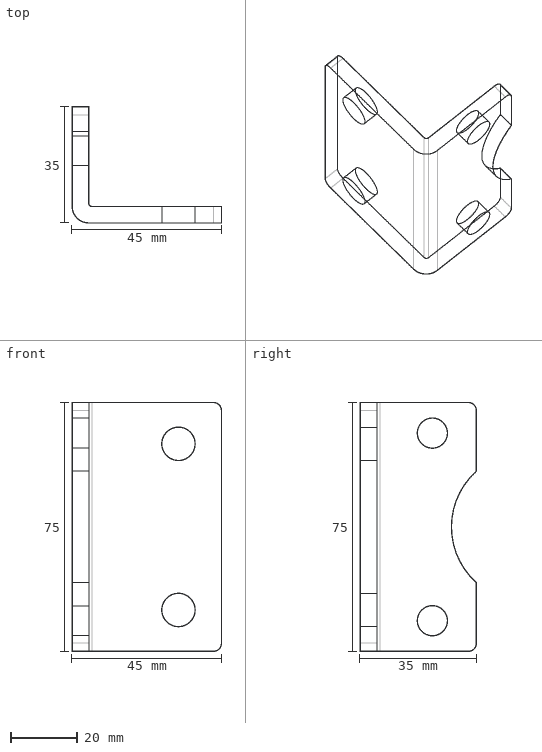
import cadquery as cq

length_x = 45.0
length_y = 35.0
height = 75.0
thickness = 5.0

bend_outer_radius = thickness
bend_inner_radius = 1.0
corner_radius = 2.5

front_hole_diameter = 10.0
front_hole_x = 32.0
front_hole_spacing = 50.0

side_hole_diameter = 9.0
side_hole_y = 21.75
side_hole_spacing = 56.5

relief_radius = 22.5
relief_depth = 7.5

middle_z = height / 2


def bent_plate():
    """L-shaped plate, bent around a vertical edge at the origin."""
    plate = (
        cq.Workplane("XY")
        .polyline([
            (0, 0),
            (length_x, 0),
            (length_x, thickness),
            (thickness, thickness),
            (thickness, length_y),
            (0, length_y),
        ])
        .close()
        .extrude(height)
    )
    inner_bend = cq.selectors.NearestToPointSelector((thickness, thickness, middle_z))
    outer_bend = cq.selectors.NearestToPointSelector((0, 0, middle_z))
    plate = plate.edges("|Z").edges(inner_bend).fillet(bend_inner_radius)
    return plate.edges("|Z").edges(outer_bend).fillet(bend_outer_radius)


def round_free_corners(plate):
    """Round the top and bottom corners at the free end of each leg."""
    plate = plate.faces(">X").edges("|Y").fillet(corner_radius)
    return plate.faces(">Y").edges("|X").fillet(corner_radius)


def front_holes():
    """Two holes through the front leg, symmetric about mid height."""
    return (
        cq.Workplane("XZ")
        .center(front_hole_x, middle_z)
        .rarray(0.75, front_hole_spacing, 1, 2)
        .circle(front_hole_diameter / 2)
        .extrude(-thickness)
    )


def side_holes():
    """Two holes through the side leg, symmetric about mid height."""
    return (
        cq.Workplane("YZ")
        .center(side_hole_y, middle_z)
        .rarray(0.75, side_hole_spacing, 1, 2)
        .circle(side_hole_diameter / 2)
        .extrude(thickness)
    )


def edge_relief():
    """Cylinder that cuts the shallow arc into the side leg."""
    center_y = length_y - relief_depth + relief_radius
    return (
        cq.Workplane("YZ")
        .center(center_y, middle_z)
        .circle(relief_radius)
        .extrude(thickness)
    )


bracket = round_free_corners(bent_plate())
result = bracket.cut(front_holes()).cut(side_holes()).cut(edge_relief())